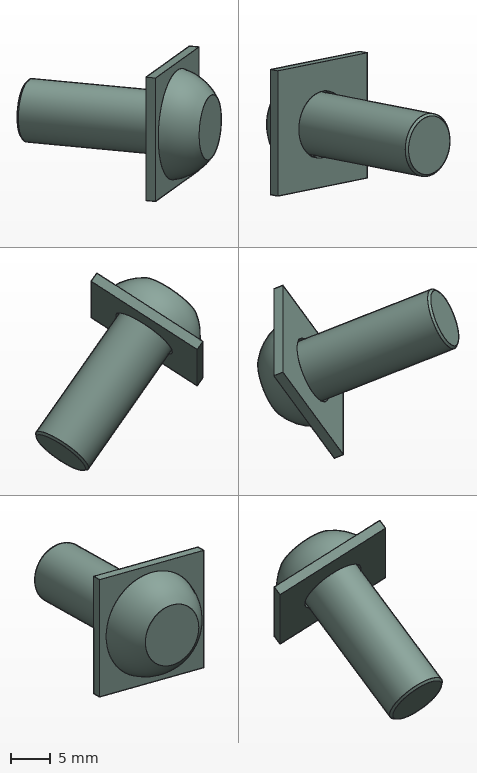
import cadquery as cq
import math

TOTAL_LENGTH = 24.4
HEAD_HEIGHT = 4.4
HEAD_DIAMETER = 14.0
HEAD_FACE_DIAMETER = 8.2
SHANK_DIAMETER = 8.0
TIP_CHAMFER = 0.3
WASHER_SIDE = 16.0
WASHER_THICKNESS = 1.3
WASHER_HOLE_DIAMETER = 8.5

shank_length = TOTAL_LENGTH - HEAD_HEIGHT
head_radius = HEAD_DIAMETER / 2
head_face_radius = HEAD_FACE_DIAMETER / 2
shank_radius = SHANK_DIAMETER / 2
hole_radius = WASHER_HOLE_DIAMETER / 2

neck_fillet = hole_radius - shank_radius
fillet_mid_offset = neck_fillet * (1 - math.sqrt(0.5))

dome_center_x = shank_length - (
    head_radius**2 - head_face_radius**2 - HEAD_HEIGHT**2
) / (2 * HEAD_HEIGHT)
dome_radius = math.hypot(shank_length - dome_center_x, head_radius)
dome_mid_x = shank_length + HEAD_HEIGHT / 2
dome_mid_radius = math.sqrt(dome_radius**2 - (dome_mid_x - dome_center_x) ** 2)


def make_screw():
    """Button head screw with a chamfered tip and a filleted neck, revolved about X."""
    profile = (
        cq.Workplane("XY")
        .moveTo(0, 0)
        .lineTo(0, shank_radius - TIP_CHAMFER)
        .lineTo(TIP_CHAMFER, shank_radius)
        .lineTo(shank_length - neck_fillet, shank_radius)
        .threePointArc(
            (shank_length - fillet_mid_offset, shank_radius + fillet_mid_offset),
            (shank_length, hole_radius),
        )
        .lineTo(shank_length, head_radius)
        .threePointArc((dome_mid_x, dome_mid_radius), (TOTAL_LENGTH, head_face_radius))
        .lineTo(TOTAL_LENGTH, 0)
        .close()
    )
    return profile.revolve(360, (0, 0, 0), (1, 0, 0))


def make_washer():
    """Square washer seated under the head, with clearance around the shank."""
    return (
        cq.Workplane("YZ", origin=(shank_length - WASHER_THICKNESS, 0, 0))
        .rect(WASHER_SIDE, WASHER_SIDE)
        .circle(hole_radius)
        .extrude(WASHER_THICKNESS)
    )


screw = make_screw()
washer = make_washer()
result = cq.Compound.makeCompound([screw.val(), washer.val()])